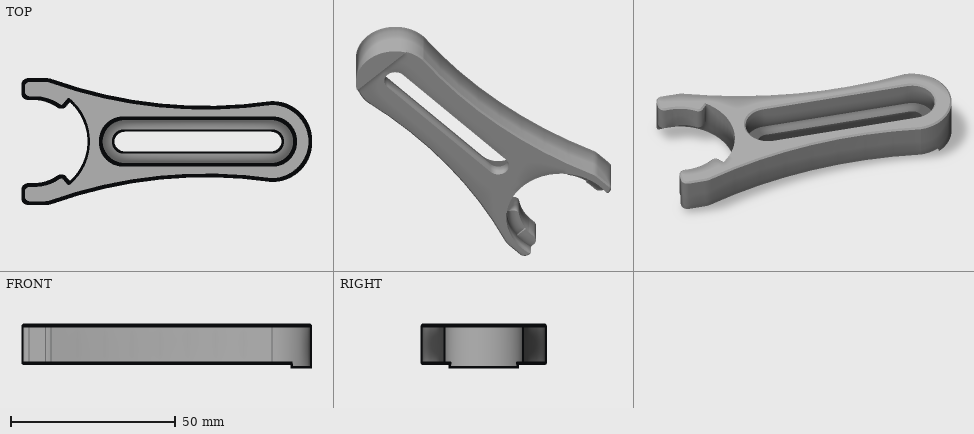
import cadquery as cq
import math

length = 88.0
fork_half_width = 19.0
thickness = 12.0
edge_chamfer = 0.5

tail_radius = 12.0
tail_x = length - tail_radius

shoulder_x = 8.0
shoulder_radius = 5.0
flank_radius = 140.0

bore_x = 3.5
bore_radius = 16.7
lip_radius = 13.0
throat_half_width = 12.98
hook_angle = 48.8
hook_radius = 1.5
tip_radius = 2.0

lip_bottom = 4.55
tip_bottom = 3.8
lip_step_x = 5.9

slot_start_x = 31.0
slot_radius = 3.3
pocket_radius = 6.85
pocket_floor = 4.0

foot_start_x = 82.0
foot_height = 1.0


def polar_from_bore(radius, angle):
    """Point at a radius and an angle in degrees about the bore axis."""
    turn = math.radians(angle)
    return bore_x + radius * math.cos(turn), radius * math.sin(turn)


def edges_at(x, y):
    """Selector for the upright edge that stands at a given point."""
    margin = 0.1
    return cq.selectors.BoxSelector(
        (x - margin, y - margin, 0), (x + margin, y + margin, thickness)
    )


def make_plate():
    """Closed plate with a wide fork end, hollow flanks, a round tail and a lower chamfer."""
    tail_middle = (
        tail_x + tail_radius * math.cos(math.pi / 4),
        tail_radius * math.sin(math.pi / 4),
    )
    plate = (
        cq.Workplane("XY")
        .moveTo(length, 0)
        .threePointArc(tail_middle, (tail_x, tail_radius))
        .radiusArc((shoulder_x, fork_half_width), flank_radius)
        .lineTo(0, fork_half_width)
        .lineTo(0, 0)
        .mirrorX()
        .extrude(thickness)
    )
    for side in (-1, 1):
        plate = plate.edges(edges_at(shoulder_x, side * fork_half_width)).fillet(shoulder_radius)
        plate = plate.edges(edges_at(0, side * fork_half_width)).fillet(tip_radius)
    return chamfer_fork_then_tail(plate, "<Z")


def open_fork(plate):
    """Cut the bore and the throat between the lips, then round the lip ends."""
    hook_x, hook_y = polar_from_bore(lip_radius, hook_angle)
    notch_x, notch_y = polar_from_bore(bore_radius, hook_angle)
    lip_x, lip_y = polar_from_bore(lip_radius, (90 + hook_angle) / 2)
    lip_start_x = bore_x + math.sqrt(lip_radius**2 - throat_half_width**2)
    opening = (
        cq.Workplane("XY")
        .moveTo(0, throat_half_width)
        .lineTo(lip_start_x, throat_half_width)
        .threePointArc((lip_x, lip_y), (hook_x, hook_y))
        .lineTo(notch_x, notch_y)
        .threePointArc((bore_x + bore_radius, 0), (notch_x, -notch_y))
        .lineTo(hook_x, -hook_y)
        .threePointArc((lip_x, -lip_y), (lip_start_x, -throat_half_width))
        .lineTo(0, -throat_half_width)
        .close()
        .extrude(thickness)
    )
    fork = plate.cut(opening)
    for side in (-1, 1):
        fork = fork.edges(edges_at(0, side * throat_half_width)).fillet(tip_radius)
        fork = fork.edges(edges_at(hook_x, side * hook_y)).fillet(hook_radius)
    return fork


def is_bore_rim(edge):
    """True for the arc where the bore meets the top face, which stays sharp."""
    return edge.geomType() == "CIRCLE" and math.isclose(edge.radius(), bore_radius, abs_tol=0.01)


def chamfer_fork_then_tail(body, face):
    """Chamfer one face's outline, the fork and flanks first and the tail arc second, leaving the bore rim."""
    for on_tail in (False, True):
        edges = body.faces(face).edges().filter(lambda edge: not is_bore_rim(edge))
        edges = edges.filter(lambda edge: (edge.Center().x > tail_x) == on_tail)
        body = edges.chamfer(edge_chamfer)
    return body


def lip_relief(start_x, height):
    """Bore-sized recess from the underside, kept to the region beyond start_x."""
    disc = cq.Workplane("XY").center(bore_x, 0).circle(bore_radius).extrude(height)
    region = cq.Workplane("XY").box(length, length, height, centered=(False, True, False))
    return disc.intersect(region.translate((start_x, 0, 0)))


def slot_outline(radius, bottom):
    """Round-ended slot outline along the handle."""
    slot_length = tail_x - slot_start_x
    middle_x = (tail_x + slot_start_x) / 2
    return cq.Workplane("XY", origin=(middle_x, 0, bottom)).slot2D(slot_length + 2 * radius, 2 * radius)


def stepped_slot():
    """Narrow through slot, wider pocket above it and a flared mouth at the top."""
    through_slot = slot_outline(slot_radius, 0).extrude(thickness)
    pocket = slot_outline(pocket_radius, pocket_floor).extrude(thickness - pocket_floor)
    mouth = slot_outline(pocket_radius, thickness - edge_chamfer).extrude(edge_chamfer, taper=-45)
    return through_slot.union(pocket).union(mouth)


def tail_foot():
    """Segment of the tail disc that stands below the underside and fills the chamfer above it."""
    foot_thickness = foot_height + edge_chamfer
    disc = cq.Workplane("XY", origin=(tail_x, 0, -foot_height)).circle(tail_radius).extrude(foot_thickness)
    region = cq.Workplane("XY", origin=(foot_start_x, 0, -foot_height)).box(
        tail_radius, 2 * tail_radius, foot_thickness, centered=(False, True, False)
    )
    return disc.intersect(region)


body = chamfer_fork_then_tail(open_fork(make_plate()), ">Z")
body = body.cut(lip_relief(0, tip_bottom))
body = body.cut(lip_relief(lip_step_x, lip_bottom))
body = body.cut(stepped_slot())
result = body.union(tail_foot())